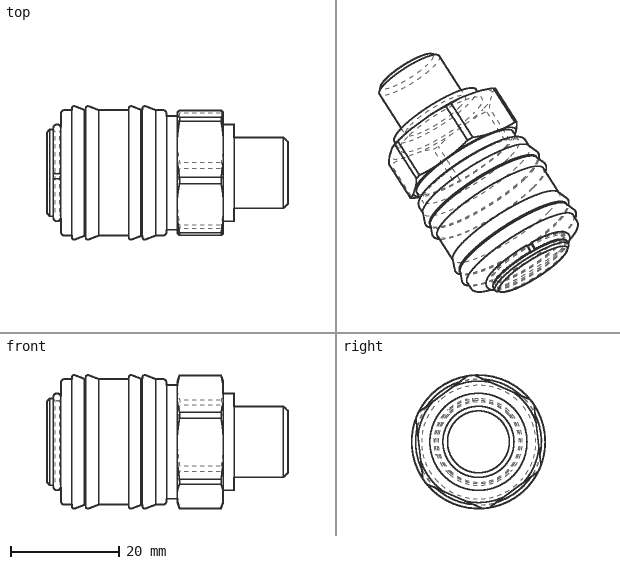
import cadquery as cq
import math

TOTAL_LENGTH = 44.6
SLEEVE_START = 2.6
SLEEVE_END = 22.13
HEX_START = 24.15
HEX_END = 32.6
COLLAR_END = 34.6

NOSE_RADIUS = 16.1 / 2
NOSE_TIP_RADIUS = 14.95 / 2
NOSE_CHAMFER_LENGTH = 0.5
RING_OUTER_RADIUS = 18.0 / 2
RING_WIRE_RADIUS = 0.7
RING_GAP_WIDTH = 1.0
RING_GAP_OFFSET = 0.62
RING_GROOVE_RADIUS = 7.7

SLEEVE_RADIUS = 23.3 / 2
SLEEVE_EDGE_FILLET = 0.65
RIB_CREST_RADIUS = 24.75 / 2
RIB_CREST_FILLET = 0.45
RIB_SLOPE = math.radians(21)
RIB_PITCH = 2.55
RIB_LENGTH = 2.65
FRONT_RIB_ROOT_RADIUS = 23.4 / 2
RIB_PAIR_STARTS = (4.6, 15.12)

NECK_RADIUS = 21.1 / 2
COLLAR_RADIUS = 18.0 / 2
STEM_RADIUS = 13.15 / 2
STEM_CHAMFER = 0.85

HEX_ACROSS_FLATS = 22.0
HEX_CORNER_RADIUS = RIB_CREST_RADIUS
HEX_FACE_RADIUS = 11.25
HEX_CHAMFER_LENGTH = 0.4
HEX_ROTATION = 6.5


def cylinder(start, end, radius):
    """Cylinder on the X axis between two stations."""
    return cq.Workplane("YZ", origin=(start, 0, 0)).circle(radius).extrude(end - start)


def revolve_about_x(profile):
    """Full turn of a closed profile drawn with X along the axis and Y as radius."""
    return profile.revolve(360, (0, 0, 0), (1, 0, 0))


def make_nose():
    """Chamfered disc with a groove for the snap ring in front of the sleeve."""
    groove_start = SLEEVE_START - 2 * RING_WIRE_RADIUS
    profile = (
        cq.Workplane("XY")
        .lineTo(0, NOSE_TIP_RADIUS)
        .lineTo(NOSE_CHAMFER_LENGTH, NOSE_RADIUS)
        .lineTo(groove_start, NOSE_RADIUS)
        .lineTo(groove_start, RING_GROOVE_RADIUS)
        .lineTo(SLEEVE_START, RING_GROOVE_RADIUS)
        .lineTo(SLEEVE_START, 0)
        .close()
    )
    return revolve_about_x(profile)


def make_snap_ring():
    """Round-wire ring resting against the sleeve, split by a gap near the top."""
    wire_x = SLEEVE_START - RING_WIRE_RADIUS
    wire_y = RING_OUTER_RADIUS - RING_WIRE_RADIUS
    wire_section = cq.Workplane("XY").moveTo(wire_x, wire_y).circle(RING_WIRE_RADIUS)
    ring = revolve_about_x(wire_section)
    gap = (
        cq.Workplane("XY", origin=(wire_x, -RING_GAP_OFFSET, 0))
        .rect(2 * RING_WIRE_RADIUS, RING_GAP_WIDTH)
        .extrude(SLEEVE_RADIUS)
    )
    return ring.cut(gap)


def make_sleeve_barrel():
    """Plain sleeve body with rounded end edges."""
    return cylinder(SLEEVE_START, SLEEVE_END, SLEEVE_RADIUS).edges().fillet(SLEEVE_EDGE_FILLET)


def make_rib(wall_x, root_radius):
    """Sawtooth rib: upright wall, rounded crest, then a slope down to a flat root."""
    centre_x = wall_x + RIB_CREST_FILLET
    centre_radius = RIB_CREST_RADIUS - RIB_CREST_FILLET

    def crest_point(angle):
        return (
            centre_x + RIB_CREST_FILLET * math.cos(angle),
            centre_radius + RIB_CREST_FILLET * math.sin(angle),
        )

    slope_angle = math.pi / 2 - RIB_SLOPE
    slope_start = crest_point(slope_angle)
    root_x = slope_start[0] + (slope_start[1] - root_radius) / math.tan(RIB_SLOPE)
    rib_end_x = wall_x + RIB_LENGTH
    profile = (
        cq.Workplane("XY")
        .moveTo(wall_x, 0)
        .lineTo(wall_x, centre_radius)
        .threePointArc(crest_point((math.pi + slope_angle) / 2), slope_start)
        .lineTo(root_x, root_radius)
        .lineTo(rib_end_x, root_radius)
        .lineTo(rib_end_x, 0)
        .close()
    )
    return revolve_about_x(profile)


def make_hexagon():
    """Hexagon with rounded corners and conical chamfers at both ends, turned off the Y axis."""
    prism = (
        cq.Workplane("YZ", origin=(HEX_START, 0, 0))
        .polygon(6, HEX_ACROSS_FLATS, circumscribed=True)
        .extrude(HEX_END - HEX_START)
        .rotate((0, 0, 0), (1, 0, 0), HEX_ROTATION)
    )
    envelope = (
        cq.Workplane("XY")
        .moveTo(HEX_START, 0)
        .lineTo(HEX_START, HEX_FACE_RADIUS)
        .lineTo(HEX_START + HEX_CHAMFER_LENGTH, HEX_CORNER_RADIUS)
        .lineTo(HEX_END - HEX_CHAMFER_LENGTH, HEX_CORNER_RADIUS)
        .lineTo(HEX_END, HEX_FACE_RADIUS)
        .lineTo(HEX_END, 0)
        .close()
    )
    return prism.intersect(revolve_about_x(envelope))


def make_stem():
    """Rear spigot with a chamfered end."""
    stem = cylinder(COLLAR_END, TOTAL_LENGTH, STEM_RADIUS)
    return stem.faces(">X").chamfer(STEM_CHAMFER)


result = make_nose().union(make_snap_ring()).union(make_sleeve_barrel())
for pair_start in RIB_PAIR_STARTS:
    result = result.union(make_rib(pair_start, FRONT_RIB_ROOT_RADIUS))
    result = result.union(make_rib(pair_start + RIB_PITCH, SLEEVE_RADIUS))
result = (
    result.union(cylinder(SLEEVE_END, HEX_START, NECK_RADIUS))
    .union(make_hexagon())
    .union(cylinder(HEX_END, COLLAR_END, COLLAR_RADIUS))
    .union(make_stem())
)